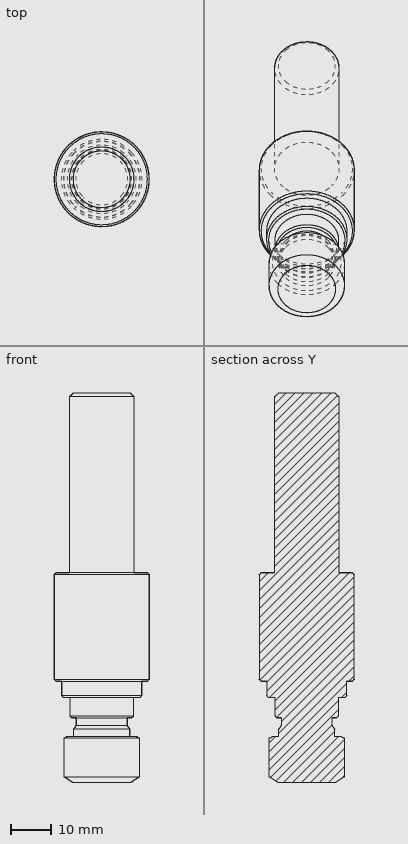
import cadquery as cq

head_diameter = 18.7
collar_diameter = 14.0
neck_diameter = 12.7
lower_step_diameter = 15.8
upper_step_diameter = 19.9
body_diameter = 23.5
shank_diameter = 16.0

head_top = 11.5
collar_top = 13.2
neck_bottom = 14.1
neck_top = 16.0
lower_step_top = 21.0
upper_step_top = 25.1
body_top = 51.95
overall_length = 96.4

head_bottom_bevel_height = 1.4
head_bottom_bevel_width = 2.2
head_top_bevel_height = 0.5
head_top_bevel_width = 0.9
step_chamfer = 0.5
body_chamfer = 0.5
shank_chamfer = 1.0


def section(diameter, bottom, top):
    """Solid cylinder on the Z axis between two heights."""
    return cq.Workplane("XY").workplane(offset=bottom).circle(diameter / 2).extrude(top - bottom)


def revolve_profile(points):
    """Revolve (radius, height) points around the Z axis."""
    return cq.Workplane("XZ").polyline(points).close().revolve(360, (0, 0), (0, 1))


def make_head():
    """Head with shallow bevels on both rims."""
    radius = head_diameter / 2
    return revolve_profile([
        (0, 0),
        (radius - head_bottom_bevel_width, 0),
        (radius, head_bottom_bevel_height),
        (radius, head_top - head_top_bevel_height),
        (radius - head_top_bevel_width, head_top),
        (0, head_top),
    ])


def make_neck():
    """Collar tapering into the narrow neck."""
    return revolve_profile([
        (0, head_top),
        (collar_diameter / 2, head_top),
        (collar_diameter / 2, collar_top),
        (neck_diameter / 2, neck_bottom),
        (neck_diameter / 2, neck_top),
        (0, neck_top),
    ])


lower_step = section(lower_step_diameter, neck_top, lower_step_top).faces("<Z").chamfer(step_chamfer)
upper_step = section(upper_step_diameter, lower_step_top, upper_step_top).faces("<Z").chamfer(step_chamfer)
body = section(body_diameter, upper_step_top, body_top).faces("<Z or >Z").chamfer(body_chamfer)
shank = section(shank_diameter, body_top, overall_length).faces(">Z").chamfer(shank_chamfer)

result = make_head()
for part in (make_neck(), lower_step, upper_step, body, shank):
    result = result.union(part)